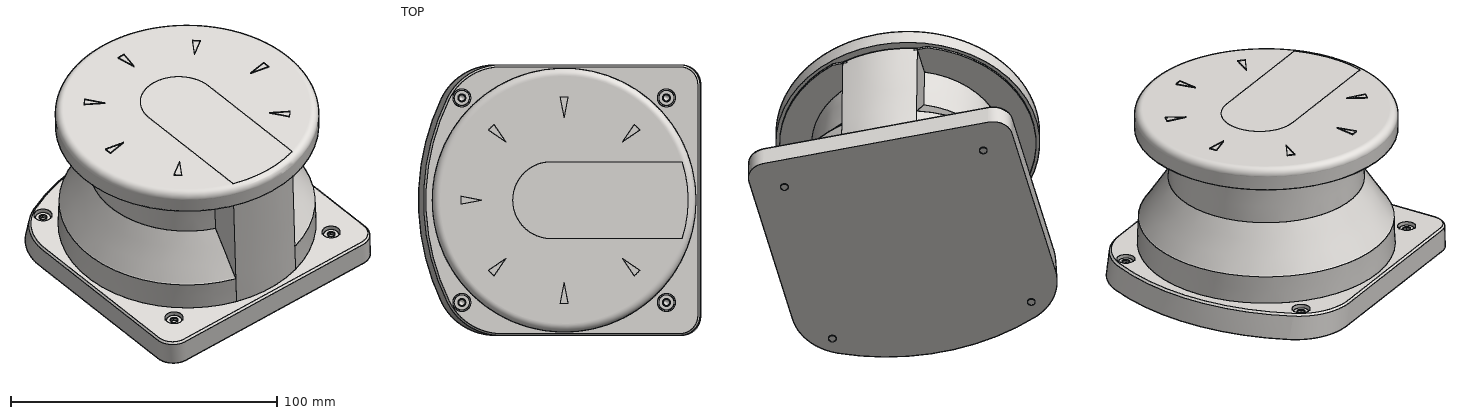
import cadquery as cq
import math


plate_height = 9.8
plate_half_width = 50.8
plate_right = 51.3
plate_left = 54.7
right_wall_lean = 0.4
bow_radius = 89.1
bow_lean = 2.1
left_corner_radius = 21.8
right_corner_radius = 7.4
plate_chamfer = 0.7

screw_offset = 38.4
shank_radius = 1.5
head_radius = 2.9
head_height = 3.0
head_fillet = 0.3
head_recess = 1.1
counterbore_radius = 3.4
tip_projection = 0.4
socket_across_flats = 2.3
socket_depth = 1.3
socket_mouth_radius = 1.5
socket_mouth_depth = 0.3
socket_cone_depth = 0.6

skirt_radius = 48.5
knob_taper = 2.0
shoulder_z = 21.1
shoulder_chamfer = 0.3
neck_foot_z = 37.9
neck_foot_radius = 36.9
neck_top_radius = 36.2
grip_width = 28.8

lip_bottom_z = 57.8
cap_bottom_z = 58.6
cap_top_z = 66.9
cap_radius = 49.5
cap_fillet = 3.0
lip_radius = 48.1

insert_arc_center_x = -4.9
mark_count = 7
mark_pitch = 45.0
mark_base_radius = 38.7
mark_tip_radius = 31.0
mark_width = 3.0
mark_height = 0.3

head_top_z = plate_height - head_recess
head_seat_z = head_top_z - head_height
cap_height = cap_top_z - cap_bottom_z
insert_end_radius = cap_radius - cap_fillet
taper_slope = math.tan(math.radians(knob_taper))


def skirt_radius_at(z):
    """Radius of the tapered knob envelope at height z."""
    return skirt_radius - (z - plate_height) * taper_slope


lip_flat_x = math.sqrt(skirt_radius_at(lip_bottom_z) ** 2 - (grip_width / 2) ** 2)

screw_points = [
    (side_x * screw_offset, side_y * screw_offset) for side_x in (-1, 1) for side_y in (-1, 1)
]


def cylinder(radius, z_bottom, z_top):
    return cq.Workplane("XY").workplane(offset=z_bottom).circle(radius).extrude(z_top - z_bottom)


def make_plate_blank():
    """Plate with a leaning +X wall, a bowed leaning -X wall, rounded corners and a top chamfer."""
    block = (
        cq.Workplane("XZ")
        .polyline([
            (-plate_left, 0),
            (plate_right, 0),
            (plate_right - right_wall_lean, plate_height),
            (-plate_left, plate_height),
        ])
        .close()
        .extrude(plate_half_width, both=True)
    )
    bow = cq.Workplane(cq.Solid.makeCone(
        bow_radius, bow_radius - bow_lean, plate_height, pnt=cq.Vector(bow_radius - plate_left, 0, 0)
    ))
    blank = block.intersect(bow)

    def is_right_corner(edge):
        return edge.BoundingBox().zlen > plate_height / 2 and edge.Center().x > 0

    def is_left_corner(edge):
        is_upright = edge.BoundingBox().zlen > plate_height / 2
        return is_upright and edge.Center().x < 0 and abs(edge.Center().y) > plate_half_width / 2

    blank = blank.edges().filter(is_right_corner).fillet(right_corner_radius)
    blank = blank.edges().filter(is_left_corner).fillet(left_corner_radius)
    return blank.faces(">Z").edges().chamfer(plate_chamfer)


def make_base_plate():
    plate = make_plate_blank()
    for x, y in screw_points:
        plate = plate.cut(cylinder(shank_radius, 0, head_seat_z).translate((x, y, 0)))
        plate = plate.cut(cylinder(counterbore_radius, head_seat_z, plate_height).translate((x, y, 0)))
    return plate


def make_screw(x, y):
    """Socket head screw whose hexagon socket ends in a conical point."""
    head = cylinder(head_radius, head_seat_z, head_top_z).faces(">Z").edges().fillet(head_fillet)
    shank = cylinder(shank_radius, -tip_projection, head_seat_z)
    socket_floor_z = head_top_z - socket_depth
    socket = (
        cq.Workplane("XY")
        .workplane(offset=socket_floor_z)
        .polygon(6, socket_across_flats, circumscribed=True)
        .extrude(socket_depth)
    )
    point = cq.Workplane(cq.Solid.makeCone(
        0, socket_across_flats / 2, socket_cone_depth,
        pnt=cq.Vector(0, 0, socket_floor_z - socket_cone_depth),
    ))
    mouth = cq.Workplane(cq.Solid.makeCone(
        socket_across_flats / 2, socket_mouth_radius, socket_mouth_depth,
        pnt=cq.Vector(0, 0, head_top_z - socket_mouth_depth),
    ))
    return head.union(shank).cut(socket).cut(point).cut(mouth).translate((x, y, 0))


def make_lip():
    """Thin disc under the cap, cut off flat on the +X side to clear the grip end."""
    lip_height = cap_bottom_z - lip_bottom_z
    cut_off = (
        cq.Workplane("XY")
        .box(lip_radius, 2 * lip_radius, lip_height, centered=(False, True, False))
        .translate((lip_flat_x, 0, lip_bottom_z))
    )
    return cylinder(lip_radius, lip_bottom_z, cap_bottom_z).cut(cut_off)


def make_knob_body():
    """Turned skirt, cone and neck, with a straight grip running out from the neck along +X."""
    shoulder_radius = skirt_radius_at(shoulder_z)
    turned = (
        cq.Workplane("XZ")
        .polyline([
            (0, plate_height),
            (skirt_radius, plate_height),
            (shoulder_radius, shoulder_z - shoulder_chamfer),
            (shoulder_radius - shoulder_chamfer, shoulder_z),
            (neck_foot_radius, neck_foot_z),
            (neck_top_radius, lip_bottom_z),
            (0, lip_bottom_z),
        ])
        .close()
        .revolve(360, (0, 0, 0), (0, 1, 0))
    )
    envelope = cq.Workplane(cq.Solid.makeCone(
        skirt_radius, skirt_radius_at(cap_bottom_z), cap_bottom_z - plate_height,
        pnt=cq.Vector(0, 0, plate_height),
    ))
    strip = (
        cq.Workplane("XY")
        .box(skirt_radius, grip_width, cap_bottom_z, centered=(False, True, False))
    )
    grip = envelope.intersect(strip).cut(make_lip())
    return turned.union(grip)


def make_insert():
    """Flush inlay above the grip: round inner end, straight sides, end following the cap's flat top."""
    half_width = grip_width / 2
    strip = (
        cq.Workplane("XY")
        .workplane(offset=cap_bottom_z)
        .moveTo(cap_radius, half_width)
        .lineTo(insert_arc_center_x, half_width)
        .threePointArc((insert_arc_center_x - half_width, 0), (insert_arc_center_x, -half_width))
        .lineTo(cap_radius, -half_width)
        .close()
        .extrude(cap_height)
    )
    return strip.intersect(cylinder(insert_end_radius, cap_bottom_z, cap_top_z))


def make_mark(angle):
    """Raised wedge pointing at the axis."""
    return (
        cq.Workplane("XY")
        .workplane(offset=cap_top_z)
        .polyline([
            (mark_base_radius, -mark_width / 2),
            (mark_base_radius, mark_width / 2),
            (mark_tip_radius, 0),
        ])
        .close()
        .extrude(mark_height)
        .rotate((0, 0, 0), (0, 0, 1), angle)
    )


def make_cap():
    """Rounded disc with a lip below, a pocket for the insert and pointer marks on top."""
    disc = cylinder(cap_radius, cap_bottom_z, cap_top_z).faces(">Z").edges().fillet(cap_fillet)
    cap = disc.union(make_lip()).cut(make_insert())
    for index in range(1, mark_count + 1):
        cap = cap.union(make_mark(index * mark_pitch))
    return cap


base_plate = make_base_plate()
knob_body = make_knob_body()
cap = make_cap()
insert = make_insert()
screws = [make_screw(x, y).val() for x, y in screw_points]

result = cq.Compound.makeCompound([base_plate.val(), knob_body.val(), cap.val(), insert.val(), *screws])